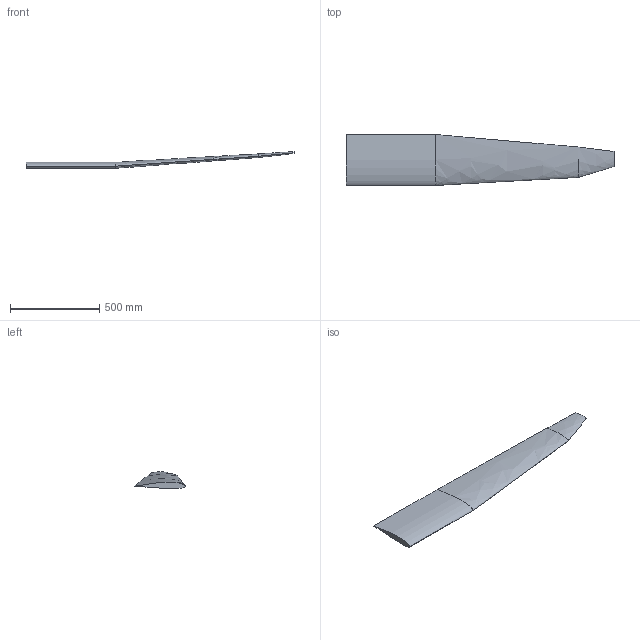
import cadquery as cq
import math

ROOT_CHORD = 285.0
BREAK_X = 500.0

JOINT_X = 1300.0
JOINT_LEADING_Y = 45.0
JOINT_CHORD = 170.0
JOINT_RISE = 55.4

TIP_X = 1500.0
TIP_LEADING_Y = 105.0
TIP_CHORD = 85.0
TIP_RISE = 74.75

CAMBER = 0.0187
CAMBER_POSITION = 0.36
THICKNESS = 0.124
POINTS_PER_SIDE = 16

THICKNESS_SCALE = 5.0
ROOT_TERM = 0.2969
POWER_TERMS = (-0.1260, -0.3516, 0.2843, -0.1036)

UPPER = 1
LOWER = -1


def half_thickness(u):
    """Half thickness of a unit-chord section at the chord fraction u."""
    shape = ROOT_TERM * math.sqrt(u)
    for power, factor in enumerate(POWER_TERMS, start=1):
        shape += factor * u**power
    return THICKNESS_SCALE * THICKNESS * shape


def camber_height(u):
    """Height of the mean line of a unit-chord section: two parabolas meeting at their crest."""
    if u < CAMBER_POSITION:
        reach = CAMBER_POSITION
    else:
        reach = 1 - CAMBER_POSITION
    return CAMBER * (1 - ((u - CAMBER_POSITION) / reach) ** 2)


def surface_curve(station, side):
    """Upper or lower section curve from the leading to the trailing edge."""
    x, leading_y, chord, rise = station
    points = []
    for i in range(POINTS_PER_SIDE + 1):
        u = (1 - math.cos(math.pi * i / POINTS_PER_SIDE)) / 2
        z = camber_height(u) + side * half_thickness(u)
        points.append(cq.Vector(x, leading_y + chord * u, rise + chord * z))
    return cq.Edge.makeSpline(points)


def section_wire(station):
    """Closed aerofoil outline, split at the leading and trailing edges."""
    return cq.Wire.assembleEdges([surface_curve(station, UPPER), surface_curve(station, LOWER)])


def panel(inner, outer):
    """Straight-ruled wing panel between two section stations."""
    ruled = True
    return cq.Workplane(obj=cq.Solid.makeLoft([section_wire(inner), section_wire(outer)], ruled))


root = (0.0, 0.0, ROOT_CHORD, 0.0)
dihedral_break = (BREAK_X, 0.0, ROOT_CHORD, 0.0)
joint = (JOINT_X, JOINT_LEADING_Y, JOINT_CHORD, JOINT_RISE)
tip = (TIP_X, TIP_LEADING_Y, TIP_CHORD, TIP_RISE)

result = panel(root, dihedral_break)
for inner_station, outer_station in ((dihedral_break, joint), (joint, tip)):
    result = result.union(panel(inner_station, outer_station))